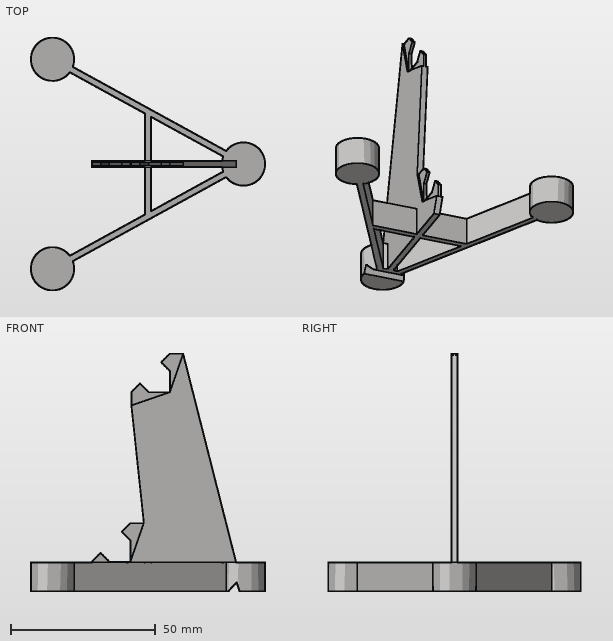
import cadquery as cq

FOOT_DIAMETER = 15.0
BASE_HEIGHT = 10.0
FRONT_FOOT_X = -65.87
FRONT_FOOT_Y = 36.13
BAR_THICKNESS = 2.2

NOTCH_FRONT_X = -5.25
NOTCH_PEAK_X = -2.4
NOTCH_REAR_X = -1.35
NOTCH_HEIGHT = 3.1

CLIP_LEG = 13.3
CATCH_DEPTH = 3.0
CLIP_THICKNESS = 1.0
SPREAD = 4.6
LOWER_CORNER = (-39.0, 10.3)
UPPER_CORNER = (-25.4, 68.75)

PLATE_THICKNESS = 2.2
PLATE_REAR_X = -2.5
PLATE_TOE_X = -49.7


def offset(corner, dx, dz):
    """Point at (dx, dz) from a clip corner."""
    return (corner[0] + dx, corner[1] + dz)


def leg_end(corner):
    """Plate outline point below the end of a clip's lying leg."""
    return offset(corner, -CLIP_LEG, -SPREAD)


def leg_top(corner):
    """Plate outline point behind the end of a clip's standing leg."""
    return offset(corner, SPREAD, CLIP_LEG)


def extrude_profile(points, thickness):
    """Extrude an XZ outline evenly to both sides of the Y = 0 plane."""
    return cq.Workplane("XZ").polyline(points).close().extrude(thickness / 2, both=True)


def make_foot(x, y):
    return cq.Workplane("XY").center(x, y).circle(FOOT_DIAMETER / 2).extrude(BASE_HEIGHT)


def make_arm(side):
    """Bar from the rear foot's centre to the front foot on one side (+1 or -1)."""
    end = cq.Vector(FRONT_FOOT_X, side * FRONT_FOOT_Y, 0)
    plane = cq.Plane(origin=end * 0.5, xDir=end, normal=(0, 0, 1))
    return cq.Workplane(plane).rect(end.Length, BAR_THICKNESS).extrude(BASE_HEIGHT)


def make_cross_bar():
    """Bar joining the midpoints of the two arms."""
    bar = cq.Workplane("XY").center(FRONT_FOOT_X / 2, 0)
    return bar.rect(BAR_THICKNESS, FRONT_FOOT_Y).extrude(BASE_HEIGHT)


def make_plate():
    outline = [
        (PLATE_TOE_X, 0),
        leg_end(LOWER_CORNER),
        LOWER_CORNER,
        leg_top(LOWER_CORNER),
        leg_end(UPPER_CORNER),
        UPPER_CORNER,
        leg_top(UPPER_CORNER),
        (PLATE_REAR_X, BASE_HEIGHT),
        (PLATE_REAR_X, 0),
    ]
    return extrude_profile(outline, PLATE_THICKNESS)


def make_clip(corner):
    """Thin cradle filling the space between its catches and the plate."""
    catch_tip = CLIP_LEG - CATCH_DEPTH
    catch_start = catch_tip - CATCH_DEPTH
    outline = [
        corner,
        offset(corner, 0, catch_start),
        offset(corner, -CATCH_DEPTH, catch_tip),
        offset(corner, 0, CLIP_LEG),
        leg_top(corner),
        offset(corner, SPREAD, -SPREAD),
        leg_end(corner),
        offset(corner, -CLIP_LEG, 0),
        offset(corner, -catch_tip, CATCH_DEPTH),
        offset(corner, -catch_start, 0),
    ]
    return extrude_profile(outline, CLIP_THICKNESS)


def make_notch():
    outline = [(NOTCH_FRONT_X, 0), (NOTCH_PEAK_X, NOTCH_HEIGHT), (NOTCH_REAR_X, 0)]
    return extrude_profile(outline, FOOT_DIAMETER)


result = make_foot(0, 0).union(make_cross_bar()).union(make_plate())
for side in (1, -1):
    result = result.union(make_foot(FRONT_FOOT_X, side * FRONT_FOOT_Y)).union(make_arm(side))
for corner in (LOWER_CORNER, UPPER_CORNER):
    result = result.union(make_clip(corner))
result = result.cut(make_notch())